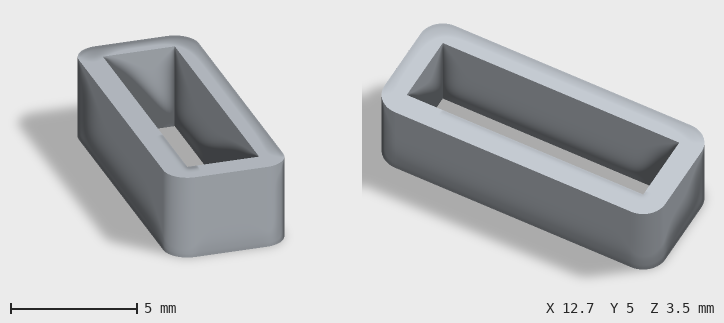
import cadquery as cq

length = 12.65
width = 5.0
height = 3.5

wall = 1.0
corner_radius = wall

body = (
    cq.Workplane("XY")
    .box(length, width, height)
    .edges("|Z")
    .fillet(corner_radius)
)

opening = cq.Workplane("XY").box(length - 2 * wall, width - 2 * wall, height)

result = body.cut(opening)